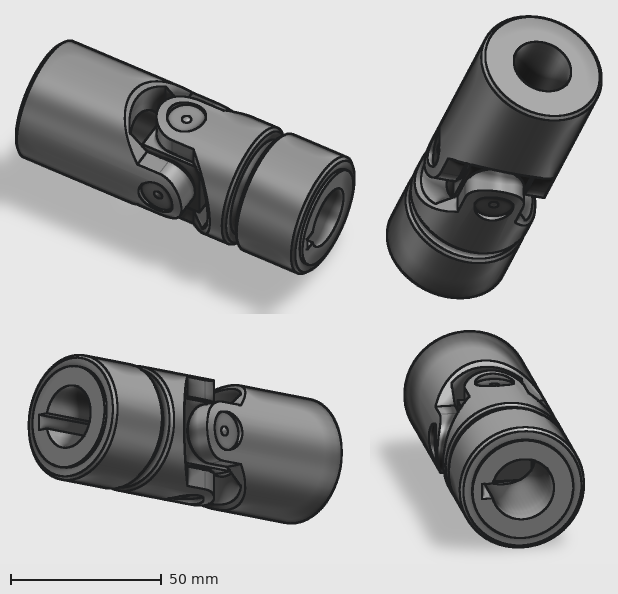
import cadquery as cq

LENGTH = 108.0
BODY_DIAMETER = 42.0
BODY_RADIUS = BODY_DIAMETER / 2
DRIVE_END_X = -54.0
COLLAR_END_X = DRIVE_END_X + LENGTH
CHAMFER = 1.1
DRIVE_BORE_DIAMETER = 20.0
COLLAR_BORE_DIAMETER = 21.0

ARM_WIDTH = 20.0
ARM_RADIUS = ARM_WIDTH / 2
ARM_STRAIGHT = 8.3
TAPER_END = 20.8
ARM_GAP = 23.8
CAVITY_RADIUS = 19.0

NECK_DIAMETER = 34.0
NECK_START_X = 26.5
COLLAR_START_X = 30.0
COLLAR_STOP_X = 52.9

KEYWAY_WIDTH = 5.2
KEYWAY_REACH = 13.8

BLOCK_SIZE = 21.8
BLOCK_DEPTH = 21.2
BOSS_DIAMETER = 18.0
PIN_DIAMETER = 13.0
PIN_SPAN = 38.2
NUB_DIAMETER = 3.1
NUB_HEIGHT = 0.4


def cylinder_x(start, end, diameter):
    """Cylinder about X between two stations."""
    return cq.Workplane("YZ", origin=(start, 0, 0)).circle(diameter / 2).extrude(end - start)


def arm_outline():
    """Tongue with a round tip, widening to the full body toward -X, with its pin along Y."""
    return (
        cq.Workplane("XZ")
        .moveTo(-LENGTH, -BODY_RADIUS)
        .lineTo(-TAPER_END, -BODY_RADIUS)
        .lineTo(-ARM_STRAIGHT, -ARM_RADIUS)
        .lineTo(0, -ARM_RADIUS)
        .threePointArc((ARM_RADIUS, 0), (0, ARM_RADIUS))
        .lineTo(-ARM_STRAIGHT, ARM_RADIUS)
        .lineTo(-TAPER_END, BODY_RADIUS)
        .lineTo(-LENGTH, BODY_RADIUS)
        .close()
        .extrude(BODY_RADIUS, both=True)
    )


def arm_cavity():
    """Space between the arms: a disc-shaped pocket whose rim clears the turning cross."""
    disc = cq.Workplane("XY").circle(CAVITY_RADIUS).extrude(BODY_RADIUS, both=True)
    gap = cq.Workplane("XY").box(BODY_DIAMETER, ARM_GAP, BODY_DIAMETER)
    return disc.intersect(gap)


def pin_hole():
    return cq.Workplane("XZ").circle(PIN_DIAMETER / 2).extrude(BODY_RADIUS, both=True)


def cut_fork(blank, bore_diameter):
    """Turn a round blank, with its arms toward +X, into a bored fork."""
    bore = cylinder_x(-LENGTH, 0, bore_diameter)
    return blank.intersect(arm_outline()).cut(arm_cavity()).cut(pin_hole()).cut(bore)


def make_drive_yoke():
    blank = cylinder_x(DRIVE_END_X, ARM_RADIUS, BODY_DIAMETER).faces("<X").chamfer(CHAMFER)
    return cut_fork(blank, DRIVE_BORE_DIAMETER)


def keyway():
    """Rectangular groove along the whole bore of the collar yoke."""
    groove = cq.Workplane("XY").box(COLLAR_END_X, KEYWAY_REACH, KEYWAY_WIDTH, centered=(False, False, True))
    return groove.translate((0, -KEYWAY_REACH, 0))


def make_collar_yoke():
    """Fork turned end for end, with its arms along Z, plus a grooved collar."""
    fork_blank = cylinder_x(-NECK_START_X, ARM_RADIUS, BODY_DIAMETER).faces("<X").chamfer(CHAMFER)
    collar = cylinder_x(-COLLAR_STOP_X, -COLLAR_START_X, BODY_DIAMETER).faces("<X or >X").chamfer(CHAMFER)
    neck = cylinder_x(-COLLAR_END_X, -NECK_START_X, NECK_DIAMETER)
    fork = cut_fork(fork_blank.union(neck).union(collar), COLLAR_BORE_DIAMETER)
    yoke = fork.rotate((0, 0, 0), (0, 0, 1), 180).rotate((0, 0, 0), (1, 0, 0), 90)
    return yoke.cut(keyway())


def domed_pin_end():
    """Shallow spherical cap on the pin end face toward +Z."""
    face = PIN_SPAN / 2
    cap_radius = ((NUB_DIAMETER / 2) ** 2 + NUB_HEIGHT ** 2) / (2 * NUB_HEIGHT)
    ball = cq.Workplane("XY").sphere(cap_radius).translate((0, 0, face + NUB_HEIGHT - cap_radius))
    stud = cq.Workplane("XY", origin=(0, 0, face)).circle(NUB_DIAMETER / 2).extrude(NUB_HEIGHT)
    return stud.intersect(ball)


def trunnion():
    """Stepped pin along Z: a boss meeting both arms, then a slimmer pin with domed ends."""
    boss = cq.Workplane("XY").circle(BOSS_DIAMETER / 2).extrude(ARM_GAP / 2, both=True)
    pin = cq.Workplane("XY").circle(PIN_DIAMETER / 2).extrude(PIN_SPAN / 2, both=True)
    nub = domed_pin_end()
    return boss.union(pin).union(nub).union(nub.mirror("XY"))


def make_cross():
    block = cq.Workplane("XY").box(BLOCK_SIZE, BLOCK_DEPTH, BLOCK_SIZE)
    return block.union(trunnion()).union(trunnion().rotate((0, 0, 0), (1, 0, 0), 90))


drive_yoke = make_drive_yoke()
collar_yoke = make_collar_yoke()
cross = make_cross()

result = cq.Compound.makeCompound([drive_yoke.val(), collar_yoke.val(), cross.val()])